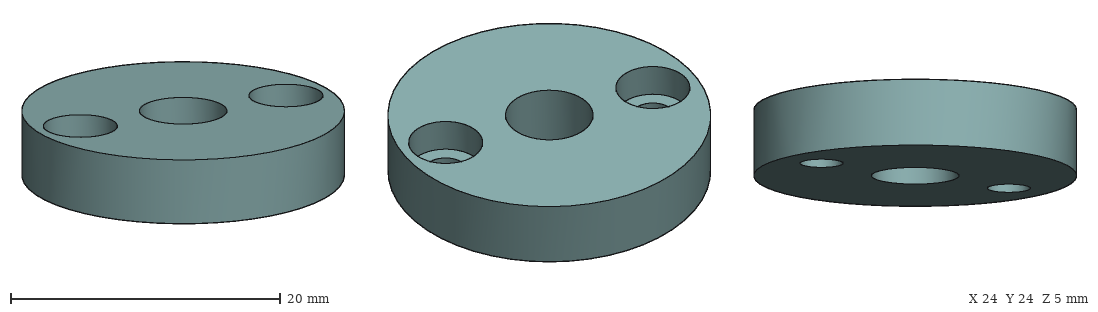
import cadquery as cq

disc_diameter = 24.0
thickness = 5.0
bore_diameter = 6.5

screw_spacing = 17.0
screw_hole_diameter = 3.2
counterbore_diameter = 5.5
counterbore_depth = thickness / 2

disc = cq.Workplane("XY").circle(disc_diameter / 2).extrude(thickness)
disc = disc.faces(">Z").workplane().hole(bore_diameter)

result = (
    disc.faces(">Z")
    .workplane()
    .rarray(0.25, screw_spacing, 1, 2)
    .cboreHole(screw_hole_diameter, counterbore_diameter, counterbore_depth)
)